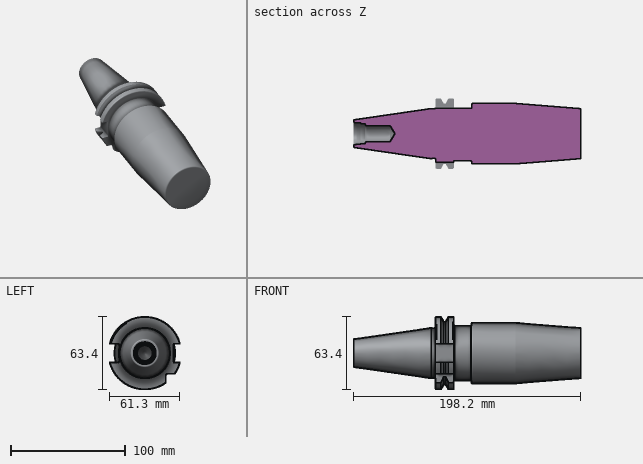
import cadquery as cq
import math

gauge_radius = 22.2
gauge_position = 68.4
taper_slope = 7 / 48
taper_end = 67.6
small_end_radius = gauge_radius - gauge_position * taper_slope
taper_end_radius = small_end_radius + taper_end * taper_slope
small_end_fillet = 1.0

relief_radius = 21.8
relief_start = 68.8
relief_fillet = 1.0

flange_start = 71.4
flange_width = 16.0
flange_end = flange_start + flange_width
flange_radius = 31.7
flange_rim_fillet = 1.0
groove_center = flange_start + flange_width / 2
groove_mouth = 6.5
groove_half_angle = 30
groove_bottom_radius = 27.5
groove_depth = flange_radius - groove_bottom_radius
groove_bottom = groove_mouth - 2 * groove_depth * math.tan(math.radians(groove_half_angle))

total_length = 198.2
neck_radius = 24.0
neck_fillet = 0.5
body_start = 102.7
body_radius = 26.5
body_fillet = 1.2
nose_taper_start = 141.4
nose_radius = 22.0
nose_fillet = 1.2

slot_width = 16.3
slot_fillet = 1.2
front_slot_floor = 25.0
back_slot_floor = 22.5
notch_y = 18.5
notch_z = 18.0
notch_fillet = 1.2

mouth_radius = 9.7
mouth_depth = 2.4
counterbore_radius = 9.1
counterbore_depth = 6.0
seat_radius = 8.5
seat_depth = 9.7
lead_in_radius = 8.0
lead_in_depth = 11.1
drill_radius = 6.7
drill_depth = 31.7
drill_half_angle = 59


def revolve_about_x(profile):
    return profile.close().revolve(360, (0, 0, 0), (1, 0, 0))


def turned_blank():
    """Taper, flange, neck and body as one turned solid."""
    profile = (
        cq.Workplane("XY")
        .moveTo(0, 0)
        .lineTo(0, small_end_radius)
        .lineTo(taper_end, taper_end_radius)
        .lineTo(relief_start, relief_radius)
        .lineTo(flange_start, relief_radius)
        .lineTo(flange_start, flange_radius)
        .lineTo(groove_center - groove_mouth / 2, flange_radius)
        .lineTo(groove_center - groove_bottom / 2, groove_bottom_radius)
        .lineTo(groove_center + groove_bottom / 2, groove_bottom_radius)
        .lineTo(groove_center + groove_mouth / 2, flange_radius)
        .lineTo(flange_end, flange_radius)
        .lineTo(flange_end, neck_radius)
        .lineTo(body_start, neck_radius)
        .lineTo(body_start, body_radius)
        .lineTo(nose_taper_start, body_radius)
        .lineTo(total_length, nose_radius)
        .lineTo(total_length, 0)
    )
    blank = revolve_about_x(profile)
    for position, radius, fillet in (
        (0, small_end_radius, small_end_fillet),
        (flange_start, relief_radius, relief_fillet),
        (flange_start, flange_radius, flange_rim_fillet),
        (flange_end, flange_radius, flange_rim_fillet),
        (flange_end, neck_radius, neck_fillet),
        (body_start, neck_radius, neck_fillet),
        (body_start, body_radius, body_fillet),
        (total_length, nose_radius, nose_fillet),
    ):
        blank = round_ring(blank, position, radius, fillet)
    return blank


def round_ring(solid, position, radius, fillet):
    """Fillet the circular edge of the given radius at the given X position."""
    tolerance = 0.02
    ring = cq.selectors.BoxSelector(
        (position - tolerance, -radius - tolerance, -radius - tolerance),
        (position + tolerance, radius + tolerance, radius + tolerance),
        boundingbox=True,
    )
    inner = cq.selectors.BoxSelector(
        (position - tolerance, -radius + tolerance, -radius + tolerance),
        (position + tolerance, radius - tolerance, radius - tolerance),
        boundingbox=True,
    )
    return solid.edges(ring - inner).fillet(fillet)


def drive_slot(side, floor, end):
    """Slot along X, open outwards on the -Y (side = -1) or +Y (side = 1) side."""
    depth = flange_radius - floor + slot_fillet
    cutter = (
        cq.Workplane("XY")
        .box(end - flange_start, depth, slot_width, centered=(False, False, True))
        .edges("|X and <Y")
        .fillet(slot_fillet)
        .translate((flange_start, floor, 0))
    )
    return cutter if side > 0 else cutter.mirror("XZ")


def orientation_notch():
    """Corner notch through the flange rim on the -Y, -Z side."""
    return (
        cq.Workplane("XY")
        .box(flange_width, flange_radius, flange_radius, centered=False)
        .edges("|X and <Y and <Z")
        .fillet(notch_fillet)
        .rotate((0, 0, 0), (1, 0, 0), 180)
        .translate((flange_start, -notch_y, -notch_z))
    )


def stepped_bore():
    """Chamfered counterbore followed by a tapping hole with a drill point."""
    drill_tip = drill_depth + drill_radius / math.tan(math.radians(drill_half_angle))
    profile = (
        cq.Workplane("XY")
        .moveTo(0, 0)
        .lineTo(0, mouth_radius)
        .lineTo(mouth_depth, counterbore_radius)
        .lineTo(counterbore_depth, counterbore_radius)
        .lineTo(counterbore_depth, seat_radius)
        .lineTo(seat_depth, seat_radius)
        .lineTo(seat_depth, lead_in_radius)
        .lineTo(lead_in_depth, drill_radius)
        .lineTo(drill_depth, drill_radius)
        .lineTo(drill_tip, 0)
    )
    return revolve_about_x(profile)


result = (
    turned_blank()
    .cut(drive_slot(-1, front_slot_floor, flange_end))
    .cut(drive_slot(1, back_slot_floor, body_start))
    .cut(orientation_notch())
    .cut(stepped_bore())
)